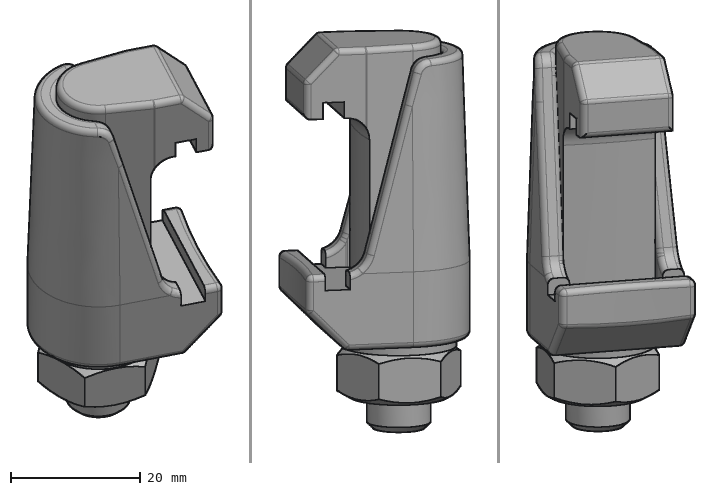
import cadquery as cq
import math

total_height = 61.5
body_radius = 11.0
body_back = 16.9
back_hollow = 0.6
edge_round = 1.0
selection_margin = 0.05

stud_radius = 5.0
stud_chamfer = 1.0
nut_bottom = 5.0
nut_flats = 17.0
nut_face_radius = 7.6
nut_chamfer_angle = 30.0
washer_bottom = 13.05
washer_radius = 9.0

base_bottom = 14.5
base_top = 26.6
sleeve_top = 59.6
sleeve_draft = 2.0
base_slope_size = 6.35
slant_angle = 15.0
slant_foot_y = 7.95
slant_foot_radius = 4.0
slant_top_radius = 2.5
lower_slot_front = 9.95
lower_slot_back = 13.9
lower_slot_floor = 24.2

hook_half_width = 7.5
hook_nose_radius = 6.5
hook_taper_start_y = 6.7
flank_blend_radius = 1.55
hook_back = 16.5
hook_slope_size = 5.05
hook_tip_bottom = 50.5
hook_stem_face_y = 6.6
hook_crown_radius = 67.65
hook_throat_radius = 3.55
upper_slot_front = 10.15
upper_slot_back = 13.5
upper_slot_roof = 53.1


def make_side_prism(outline):
    """Extrude a closed YZ workplane outline symmetrically across the full width."""
    return outline.close().extrude(2 * body_radius, both=True)


def make_box(y_range, z_range):
    """Box across the full width between the given Y and Z limits."""
    width = 4 * body_radius
    depth = y_range[1] - y_range[0]
    height = z_range[1] - z_range[0]
    corner = (-width / 2, y_range[0], z_range[0])
    return cq.Workplane("XY").box(width, depth, height, centered=False).translate(corner)


def u_outline(z):
    """Body footprint: straight sides, a round nose and a slightly hollow back."""
    return (
        cq.Workplane("XY", origin=(0, 0, z))
        .moveTo(body_radius, body_back)
        .lineTo(body_radius, 0)
        .threePointArc((0, -body_radius), (-body_radius, 0))
        .lineTo(-body_radius, body_back)
        .threePointArc((0, body_back - back_hollow), (body_radius, body_back))
        .close()
    )


def make_hook_prism():
    """Hook footprint raised to full height: straight sides and tapered flanks tangent to a round nose."""
    reach = math.hypot(hook_half_width, hook_taper_start_y)
    tangent_angle = math.atan2(hook_taper_start_y, hook_half_width) - math.acos(hook_nose_radius / reach)
    nose_x = hook_nose_radius * math.cos(tangent_angle)
    nose_y = hook_nose_radius * math.sin(tangent_angle)
    prism = (
        cq.Workplane("XY", origin=(0, 0, lower_slot_floor))
        .moveTo(hook_half_width, hook_back)
        .lineTo(hook_half_width, hook_taper_start_y)
        .lineTo(nose_x, nose_y)
        .threePointArc((0, -hook_nose_radius), (-nose_x, nose_y))
        .lineTo(-hook_half_width, hook_taper_start_y)
        .lineTo(-hook_half_width, hook_back)
        .close()
        .extrude(total_height - lower_slot_floor)
    )
    flank_corners = cq.selectors.BoxSelector(
        (-2 * body_radius, hook_taper_start_y - selection_margin, 0),
        (2 * body_radius, hook_taper_start_y + selection_margin, total_height),
    )
    return prism.edges(flank_corners).fillet(flank_blend_radius)


def make_stud():
    """Plain stud from its chamfered tip up to the base."""
    return (
        cq.Workplane("XY")
        .circle(stud_radius)
        .extrude(base_bottom)
        .faces("<Z")
        .chamfer(stud_chamfer)
    )


def make_nut():
    """Hexagon with corners on the Y axis and both ends chamfered."""
    height = washer_bottom - nut_bottom
    corner_radius = nut_flats / math.sqrt(3)
    drop = (corner_radius - nut_face_radius) * math.tan(math.radians(nut_chamfer_angle))
    hexagon = (
        cq.Workplane("XY")
        .polygon(6, 2 * corner_radius)
        .extrude(height)
        .rotate((0, 0, 0), (0, 0, 1), 90)
    )
    envelope = (
        cq.Workplane("XZ")
        .polyline([
            (0, 0),
            (nut_face_radius, 0),
            (corner_radius, drop),
            (corner_radius, height - drop),
            (nut_face_radius, height),
            (0, height),
        ])
        .close()
        .revolve(360, (0, 0, 0), (0, 1, 0))
    )
    return hexagon.intersect(envelope).translate((0, 0, nut_bottom))


def make_washer():
    """Flat washer between the nut and the base."""
    height = base_bottom - washer_bottom
    return cq.Workplane("XY", origin=(0, 0, washer_bottom)).circle(washer_radius).extrude(height)


def make_slant_cut():
    """Prism that opens the back of the sleeve above its slanted rim."""
    lean = math.radians(slant_angle)
    turn = math.pi / 2 - lean
    slant_top_y = slant_foot_y - (sleeve_top - base_top) * math.tan(lean)
    foot_run = slant_foot_radius * math.tan(turn / 2)
    top_run = slant_top_radius * math.tan(turn / 2)

    foot_flat_y = slant_foot_y + foot_run
    foot_slant = (slant_foot_y - foot_run * math.sin(lean), base_top + foot_run * math.cos(lean))
    foot_center = (foot_flat_y, base_top + slant_foot_radius)
    top_flat_y = slant_top_y - top_run
    top_slant = (slant_top_y + top_run * math.sin(lean), sleeve_top - top_run * math.cos(lean))
    top_center = (top_flat_y, sleeve_top - slant_top_radius)

    foot_mid = (
        foot_center[0] - slant_foot_radius * math.sin(turn / 2),
        foot_center[1] - slant_foot_radius * math.cos(turn / 2),
    )
    top_mid = (
        top_center[0] + slant_top_radius * math.sin(turn / 2),
        top_center[1] + slant_top_radius * math.cos(turn / 2),
    )
    return make_side_prism(
        cq.Workplane("YZ")
        .moveTo(2 * body_back, base_top)
        .lineTo(foot_flat_y, base_top)
        .threePointArc(foot_mid, foot_slant)
        .lineTo(*top_slant)
        .threePointArc(top_mid, (top_flat_y, sleeve_top))
        .lineTo(2 * body_back, sleeve_top)
    )


def make_base():
    """Lower jaw with a sloped back corner, a slot behind its lip and rounded edges."""
    slope_top = base_bottom + base_slope_size
    side_profile = make_side_prism(
        cq.Workplane("YZ")
        .moveTo(-2 * body_radius, base_bottom)
        .lineTo(body_back - base_slope_size, base_bottom)
        .lineTo(body_back, slope_top)
        .lineTo(body_back, base_top)
        .lineTo(-2 * body_radius, base_top)
    )
    slot = make_box((lower_slot_front, lower_slot_back), (lower_slot_floor, total_height))
    base = u_outline(base_bottom).extrude(base_top - base_bottom).intersect(side_profile).cut(slot)

    behind_slot = cq.selectors.BoxSelector(
        (-2 * body_radius, lower_slot_back + edge_round, base_bottom - edge_round),
        (2 * body_radius, 2 * body_back, base_top + edge_round),
    )
    slope_face = cq.selectors.DirectionMinMaxSelector(cq.Vector(0, 1, -1))
    rear_edges = base.edges(behind_slot).vals()
    slope_edges = base.faces(slope_face).edges("(not |X) and %LINE").vals()
    bottom_edges = base.faces("<Z").edges().vals()
    return base.newObject(rear_edges + slope_edges + bottom_edges).fillet(edge_round)


def make_sleeve():
    """Drafted sleeve, cut along its slant and open towards the slot."""
    sleeve = u_outline(base_top).extrude(sleeve_top - base_top, taper=sleeve_draft)
    behind_wall = make_box((lower_slot_front, 2 * body_back), (base_top, total_height))
    return sleeve.cut(make_slant_cut()).cut(behind_wall)


def runs_along_rim(edge):
    """True for edges wholly above the base that do not simply cross the rim along X."""
    box = edge.BoundingBox()
    above_base = box.zmin > base_top + selection_margin
    return above_base and (box.ylen > selection_margin or box.zlen > selection_margin)


def make_body():
    """Base and sleeve with the hook channel cut out and both rim edges rounded."""
    ahead_of_lip = make_box((-2 * body_radius, lower_slot_back), (lower_slot_floor, total_height))
    channel = make_hook_prism().intersect(ahead_of_lip)
    body = make_base().union(make_sleeve()).cut(channel)
    rim_edges = [edge for edge in body.edges().vals() if runs_along_rim(edge)]
    return body.newObject(rim_edges).fillet(edge_round)


def make_throat_cut():
    """Ring-shaped space behind the stem; its large radius crowns the stem face in plan."""
    axis_y = hook_stem_face_y - hook_crown_radius
    throat_top = hook_tip_bottom - hook_throat_radius
    inner_radius = hook_crown_radius
    outer_radius = hook_crown_radius + 2 * body_back
    arc_mid = (
        inner_radius + hook_throat_radius * (1 - math.cos(math.pi / 4)),
        throat_top + hook_throat_radius * math.sin(math.pi / 4),
    )
    return (
        cq.Workplane("YZ")
        .moveTo(inner_radius, 0)
        .lineTo(inner_radius, throat_top)
        .threePointArc(arc_mid, (inner_radius + hook_throat_radius, hook_tip_bottom))
        .lineTo(outer_radius, hook_tip_bottom)
        .lineTo(outer_radius, 0)
        .close()
        .revolve(360, (0, 0, 0), (0, 1, 0))
        .translate((0, axis_y, 0))
    )


def make_hook():
    """Upper jaw and stem, with rounded edges on top, on the slope and down the back."""
    slope_corner = make_side_prism(
        cq.Workplane("YZ")
        .moveTo(hook_back, total_height - hook_slope_size)
        .lineTo(hook_back - hook_slope_size, total_height)
        .lineTo(hook_back, total_height)
    )
    slot = make_box((upper_slot_front, upper_slot_back), (lower_slot_floor, upper_slot_roof))
    hook = make_hook_prism().cut(slope_corner).cut(make_throat_cut()).cut(slot)
    slope_face = cq.selectors.DirectionMinMaxSelector(cq.Vector(0, 1, 1))
    top_edges = hook.faces(">Z").edges().vals()
    back_edges = hook.faces(">Y").edges().vals()
    slope_edges = hook.faces(slope_face).edges("not |X").vals()
    return hook.newObject(top_edges + back_edges + slope_edges).fillet(edge_round)


result = make_body().union(make_hook()).union(make_stud()).union(make_nut()).union(make_washer())